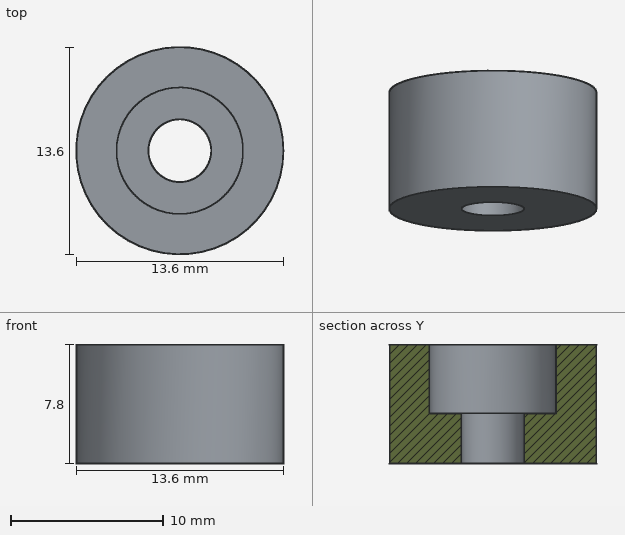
import cadquery as cq

outer_diameter = 13.6
height = 7.8
counterbore_diameter = 8.3
counterbore_depth = 4.5
bore_diameter = 4.1


def make_body():
    """Plain cylinder standing on the XY plane, axis along Z."""
    return cq.Workplane("XY").circle(outer_diameter / 2).extrude(height)


def cut_stepped_bore(body):
    """Through bore with a flat-bottomed counterbore opening at the top face."""
    return body.faces(">Z").workplane().cboreHole(bore_diameter, counterbore_diameter, counterbore_depth)


result = cut_stepped_bore(make_body())